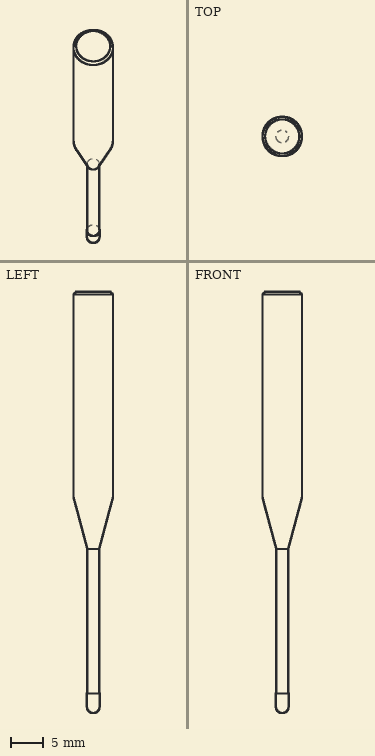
import cadquery as cq

TOTAL_LENGTH = 64.0
SHANK_DIAMETER = 6.0
SHANK_CHAMFER = 0.415
CONE_TOP_Z = 32.7
CONE_BOTTOM_Z = 24.95
NECK_DIAMETER = 1.85
HEAD_DIAMETER = 2.0
HEAD_TOP_Z = 3.0

SHANK_RADIUS = SHANK_DIAMETER / 2
NECK_RADIUS = NECK_DIAMETER / 2
HEAD_RADIUS = HEAD_DIAMETER / 2


def make_shank():
    """Round shank, chamfered at the top and tapering to the neck at the bottom."""
    profile = (
        cq.Workplane("XZ")
        .moveTo(0, CONE_BOTTOM_Z)
        .lineTo(NECK_RADIUS, CONE_BOTTOM_Z)
        .lineTo(SHANK_RADIUS, CONE_TOP_Z)
        .lineTo(SHANK_RADIUS, TOTAL_LENGTH)
        .lineTo(0, TOTAL_LENGTH)
        .close()
    )
    shank = profile.revolve(360, (0, 0, 0), (0, 1, 0))
    return shank.faces(">Z").chamfer(SHANK_CHAMFER)


def make_neck():
    """Thin cylinder joining the cutting head to the shank."""
    return (
        cq.Workplane("XY")
        .workplane(offset=HEAD_TOP_Z)
        .circle(NECK_RADIUS)
        .extrude(CONE_BOTTOM_Z - HEAD_TOP_Z)
    )


def make_head():
    """Cutting head: a short cylinder ending in a hemisphere."""
    profile = (
        cq.Workplane("XZ")
        .moveTo(0, 0)
        .radiusArc((HEAD_RADIUS, HEAD_RADIUS), -HEAD_RADIUS)
        .lineTo(HEAD_RADIUS, HEAD_TOP_Z)
        .lineTo(0, HEAD_TOP_Z)
        .close()
    )
    return profile.revolve(360, (0, 0, 0), (0, 1, 0))


shank = make_shank()
neck = make_neck()
head = make_head()

result = cq.Compound.makeCompound([shank.val(), neck.val(), head.val()])